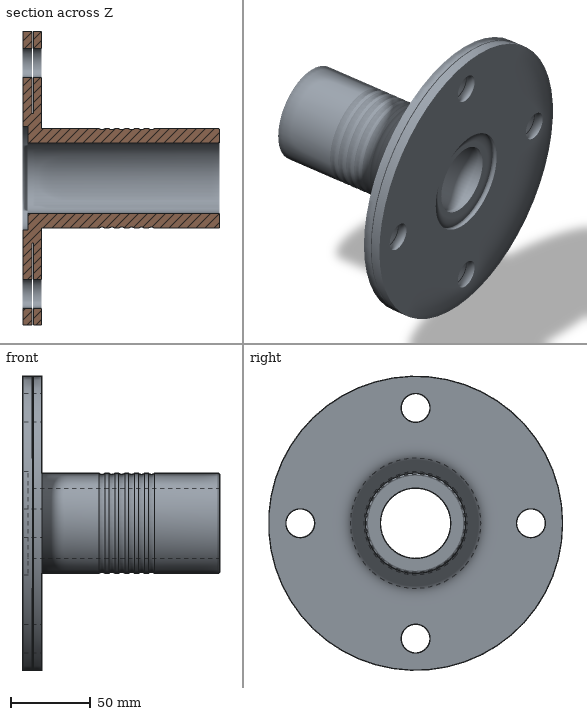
import cadquery as cq

total_length = 124.0
flange_diameter = 185.0
flange_thickness = 12.0
pipe_diameter = 63.0
bore_diameter = 44.0
pipe_end_fillet = 1.3

gap_start = 6.1
gap_width = 0.5
hub_diameter = 82.0

recess_diameter = 65.0
recess_depth = 3.3

bolt_hole_diameter = 18.0
bolt_circle_diameter = 145.0
bolt_hole_count = 4

groove_count = 6
groove_start = 48.0
groove_width = 3.9
grooved_length = 35.0
groove_pitch = (grooved_length - groove_width) / (groove_count - 1)
groove_depth = 0.7


def cylinder(diameter, start, length):
    """Solid cylinder along +X, beginning at x = start."""
    return cq.Workplane("YZ", origin=(start, 0, 0)).circle(diameter / 2).extrude(length)


def flange_gap():
    """Thin ring between the two flange plates, outside the hub."""
    ring = cylinder(flange_diameter, gap_start, gap_width)
    return ring.cut(cylinder(hub_diameter, gap_start, gap_width))


def bolt_holes():
    """Through holes on the bolt circle, on the Y and Z axes."""
    return (
        cq.Workplane("YZ")
        .polarArray(bolt_circle_diameter / 2, 0, 360, bolt_hole_count)
        .circle(bolt_hole_diameter / 2)
        .extrude(flange_thickness)
    )


def pipe_groove(start):
    """Ring with a circular-arc floor, cut into the pipe surface."""
    pipe_radius = pipe_diameter / 2
    clear_radius = pipe_radius + groove_depth
    end = start + groove_width
    return (
        cq.Workplane("XY")
        .moveTo(start, clear_radius)
        .lineTo(start, pipe_radius)
        .threePointArc((start + groove_width / 2, pipe_radius - groove_depth), (end, pipe_radius))
        .lineTo(end, clear_radius)
        .close()
        .revolve(360, (0, 0, 0), (1, 0, 0))
    )


pipe = cylinder(pipe_diameter, 0, total_length).faces(">X").edges().fillet(pipe_end_fillet)
flange = cylinder(flange_diameter, 0, flange_thickness)

result = pipe.union(flange)
result = result.cut(flange_gap())
result = result.cut(bolt_holes())
result = result.cut(cylinder(recess_diameter, 0, recess_depth))
result = result.cut(cylinder(bore_diameter, 0, total_length))
for index in range(groove_count):
    result = result.cut(pipe_groove(groove_start + index * groove_pitch))